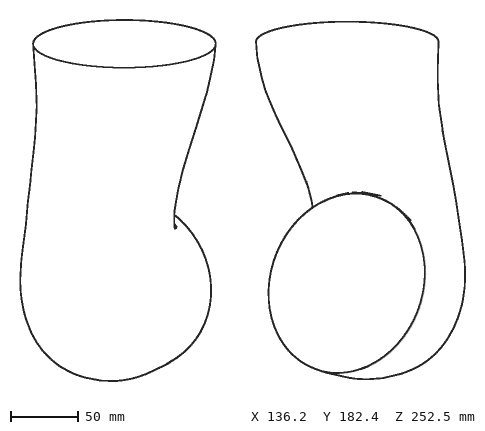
import cadquery as cq
import math

disc_radius = 68.1
height = 252.53
rear_rim_thickness = 1.0
section_points = 16
sections_per_span = 3
rear_disc_z = disc_radius - height

middle_stations = [
    ((67.1, -20.0), (-70.4, -20.0), 65.8),
    ((57.8, -43.2), (-77.1, -44.9), 61.6),
    ((36.6, -62.8), (-84.9, -69.3), 58.9),
    ((17.9, -79.1), (-93.9, -93.0), 57.0),
    ((4.8, -91.3), (-102.8, -117.4), 56.0),
    ((-1.7, -99.5), (-109.4, -143.5), 55.7),
    ((-4.4, -107.6), (-113.8, -168.8), 57.0),
    ((-3.9, -112.1), (-111.2, -194.9), 59.4),
    ((-2.9, -114.2), (-99.6, -216.9), 61.5),
    ((-1.9, -115.1), (-81.6, -234.0), 63.6),
    ((-1.2, -115.6), (-62.1, -243.4), 65.2),
    ((-0.8, -116.0), (-43.3, -248.9), 66.2),
    ((-0.4, -116.3), (-22.1, -251.8), 67.2),
]


def elliptical_section(inner_corner, outer_corner):
    """Ellipse square to the YZ plane, from the two +X corners of its bounding rectangle."""
    side_axis = cq.Vector(outer_corner.x, 0, 0)
    centre = (inner_corner + outer_corner) / 2 - side_axis
    outward_axis = (outer_corner - inner_corner) / 2
    turns = [step / section_points for step in range(section_points + 1)]
    points = []
    for turn in turns[:-1]:
        angle = 2 * math.pi * turn
        points.append(centre + outward_axis * math.cos(angle) + side_axis * math.sin(angle))
    return cq.Wire.assembleEdges([cq.Edge.makeSpline(points, periodic=True, parameters=turns)])


def bent_body():
    """Smooth elbow from the horizontal top disc to the vertical rear disc."""
    top_disc = ((disc_radius, 0), (-disc_radius, 0), disc_radius)
    rear_disc = ((0, rear_disc_z + disc_radius), (0, rear_disc_z - disc_radius), disc_radius)
    stations = [top_disc] + middle_stations + [rear_disc]
    last = len(stations) - 1
    parameters = [index / last for index in range(last + 1)]

    inner_corners = [cq.Vector(half_width, *inner) for inner, outer, half_width in stations]
    outer_corners = [cq.Vector(half_width, *outer) for inner, outer, half_width in stations]
    inner_guide = cq.Edge.makeSpline(inner_corners, parameters=parameters)
    outer_guide = cq.Edge.makeSpline(outer_corners, parameters=parameters)

    section_steps = last * sections_per_span
    wires = []
    for step in range(section_steps + 1):
        fraction = step / section_steps
        inner_corner = inner_guide.positionAt(fraction, mode="parameter")
        outer_corner = outer_guide.positionAt(fraction, mode="parameter")
        wires.append(elliptical_section(inner_corner, outer_corner))
    return cq.Workplane(obj=cq.Solid.makeLoft(wires))


def with_rear_rim(body):
    """Extend the flat rear disc of the body straight toward +Y."""
    return body.faces("|Y").wires().toPending().workplane().extrude(rear_rim_thickness)


result = with_rear_rim(bent_body()).solids()